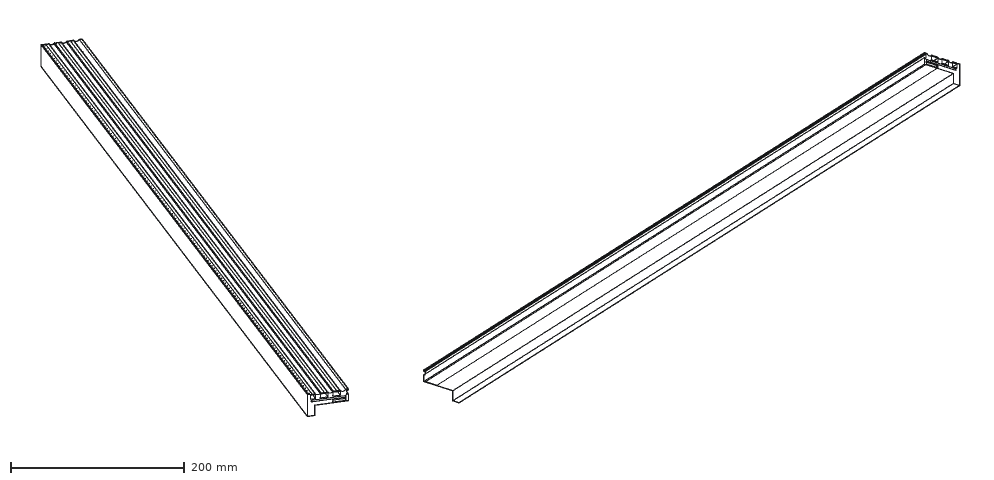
import cadquery as cq

length = 1000.0
depth = 50.0
height = 28.0
plate_thickness = 15.0
leg_thickness = 9.0

groove_pitch = 15.0
groove_count = 3
first_groove_y = 18.0
groove_width = 7.0
groove_depth = 2.0
fine_groove_count = 2
fine_groove_depth = 0.4

skin_thickness = 1.5
web_thickness = 6.0
cell_height = 5.0
front_wall = 4.0

slot_height = 2.0
slot_floor_z = 4.0
slot_front_wall = 5.0
rear_wall = 3.0
rear_channel_width = 16.0
rear_channel_height = 2.5
rear_channel_floor_z = 0.0

notch_depth = 2.0
notch_height = 5.0

front_y = -depth / 2
rear_y = depth / 2
top_z = height / 2
bottom_z = -height / 2
cell_top_z = top_z - skin_thickness
groove_centers = [first_groove_y - i * groove_pitch for i in range(groove_count)]


def channel(y_front, y_rear, z_low, z_high):
    """Rectangular void running the full length."""
    return cq.Workplane("XY").box(
        length, y_rear - y_front, z_high - z_low, centered=(True, False, False)
    ).translate((0, y_front, z_low))


def cut_arc(profile, y_start, width, sag):
    """Continue the tread outline toward -Y with one concave arc."""
    return profile.threePointArc((y_start - width / 2, top_z - sag), (y_start - width, top_z))


def make_body():
    """Angle section with the grooved tread as its top edge."""
    fine_width = (groove_pitch - groove_width) / fine_groove_count
    profile = cq.Workplane("YZ").moveTo(rear_y, top_z)
    profile = profile.lineTo(first_groove_y + groove_width / 2, top_z)
    for center in groove_centers:
        groove_start = center + groove_width / 2
        profile = cut_arc(profile, groove_start, groove_width, groove_depth)
        land_start = groove_start - groove_width
        for i in range(fine_groove_count):
            profile = cut_arc(profile, land_start - i * fine_width, fine_width, fine_groove_depth)
    profile = (
        profile.lineTo(front_y, top_z)
        .lineTo(front_y, bottom_z)
        .lineTo(front_y + leg_thickness, bottom_z)
        .lineTo(front_y + leg_thickness, top_z - plate_thickness)
        .lineTo(rear_y, top_z - plate_thickness)
        .close()
    )
    return profile.extrude(length / 2, both=True)


def cut_cells(body):
    """One hollow cell in front of each web, the last ending at the front wall."""
    for center in groove_centers:
        cell_rear = center - web_thickness / 2
        cell_front = max(cell_rear - groove_pitch + web_thickness, front_y + front_wall)
        body = body.cut(channel(cell_front, cell_rear, cell_top_z - cell_height, cell_top_z))
    return body


def cut_lower_channels(body):
    """Clearance slot below the cells and the channel near the rear edge."""
    inner_rear = rear_y - rear_wall
    slot = channel(front_y + slot_front_wall, inner_rear, slot_floor_z, slot_floor_z + slot_height)
    rear_channel = channel(
        inner_rear - rear_channel_width,
        inner_rear,
        rear_channel_floor_z,
        rear_channel_floor_z + rear_channel_height,
    )
    return body.cut(slot).cut(rear_channel)


def cut_rear_notch(body):
    """Open notch along the rear edge."""
    return body.cut(channel(rear_y - notch_depth, rear_y, cell_top_z - notch_height, cell_top_z))


result = cut_rear_notch(cut_lower_channels(cut_cells(make_body())))